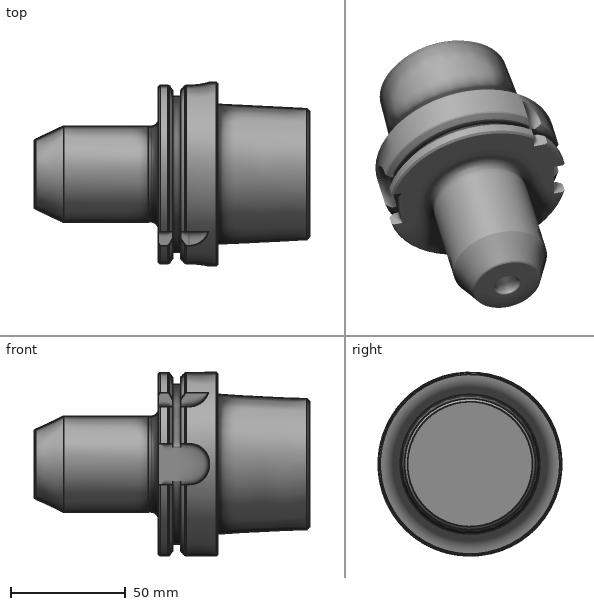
import cadquery as cq
import math

total_length = 120
nose_cone_length = 12.8
relief_start = 49.5
flange_start = 54
flange_width = 26.0
flange_end = flange_start + flange_width

nose_radius = 15.1
nose_bevel = 0.5
body_radius = 42 / 2
relief_radius = 41.8 / 2
flange_radius = 80.0 / 2
taper_start_radius = 30.5
taper_end_radius = 28.5
taper_chamfer = 1.3
flange_chamfer = 0.8

foot_radius = 3.1
ring_outer_radius = 25.2
ring_depth = 0.1

groove_floor_radius = 34.9
groove_wall_radius = 37.7
groove_left = 6.2
groove_right = 9.7
front_land_end = 4.8
rear_land_start = 11.6
land_bevel = 0.6
land_bevel_drop = 0.3

bore_radius = 11.5 / 2
bore_bevel = 0.2
bore_depth = 42

slot_floor = 34.1
slot_length = 22.3
front_slot_width = 17.8
rear_slot_width = 20.0
rear_slot_corner = 9.1
notch_floor = 25.1
notch_end_radius = 9.1


def turned_body():
    """Half section in X and radius, revolved around the X axis."""
    ring_floor = flange_start + ring_depth
    foot_start = ring_floor - foot_radius
    foot_end_radius = relief_radius + foot_radius
    diagonal = foot_radius * math.sqrt(0.5)
    foot_middle = (foot_start + diagonal, foot_end_radius - diagonal)
    wall_left = flange_start + groove_left
    wall_right = flange_start + groove_right
    left_edge = flange_start + front_land_end
    right_edge = flange_start + rear_land_start
    bevel_radius = flange_radius - land_bevel_drop
    section = (
        cq.Workplane("XY")
        .lineTo(0, nose_radius - nose_bevel)
        .lineTo(nose_bevel, nose_radius)
        .lineTo(nose_cone_length, body_radius)
        .lineTo(relief_start, body_radius)
        .lineTo(relief_start, relief_radius)
        .lineTo(foot_start, relief_radius)
        .threePointArc(foot_middle, (ring_floor, foot_end_radius))
        .lineTo(flange_start, ring_outer_radius)
        .lineTo(flange_start, flange_radius - flange_chamfer)
        .lineTo(flange_start + flange_chamfer, flange_radius)
        .lineTo(left_edge - land_bevel, flange_radius)
        .lineTo(left_edge, bevel_radius)
        .lineTo(wall_left, groove_wall_radius)
        .lineTo(wall_left, groove_floor_radius)
        .lineTo(wall_right, groove_floor_radius)
        .lineTo(wall_right, groove_wall_radius)
        .lineTo(right_edge, bevel_radius)
        .lineTo(right_edge + land_bevel, flange_radius)
        .lineTo(flange_end - flange_chamfer, flange_radius)
        .lineTo(flange_end, flange_radius - flange_chamfer)
        .lineTo(flange_end, taper_start_radius)
        .lineTo(total_length - taper_chamfer, taper_end_radius)
        .lineTo(total_length, taper_end_radius - taper_chamfer)
        .lineTo(total_length, 0)
        .close()
    )
    return section.revolve(360, (0, 0, 0), (1, 0, 0))


def nose_bore():
    """Blind bore with a small bevel at its mouth."""
    return (
        cq.Workplane("XY")
        .lineTo(0, bore_radius + bore_bevel)
        .lineTo(bore_bevel, bore_radius)
        .lineTo(bore_depth, bore_radius)
        .lineTo(bore_depth, 0)
        .close()
        .revolve(360, (0, 0, 0), (1, 0, 0))
    )


def flange_cutter(y_start, y_end, z_start, z_end):
    """Box reaching from the flange face to the slot end."""
    return cq.Workplane("XY").box(
        slot_length, y_end - y_start, z_end - z_start, centered=False
    ).translate((flange_start, y_start, z_start))


def front_slot():
    """Slot on the -Y side with a fully round end."""
    half = front_slot_width / 2
    end_x = flange_start + slot_length
    return (
        cq.Workplane("XZ", origin=(0, -slot_floor, 0))
        .moveTo(flange_start, -half)
        .lineTo(end_x - half, -half)
        .threePointArc((end_x, 0), (end_x - half, half))
        .lineTo(flange_start, half)
        .close()
        .extrude(flange_radius - slot_floor)
    )


def rear_slot():
    """Wider slot on the +Y side, its end rounded at both corners."""
    half = rear_slot_width / 2
    cutter = flange_cutter(slot_floor, flange_radius, -half, half)
    return cutter.edges("|Y and >X").fillet(rear_slot_corner)


def corner_notch():
    """Notch at the -Y +Z corner, its floor curving up at the end."""
    cutter = flange_cutter(-flange_radius, -notch_floor, notch_floor, flange_radius)
    return cutter.edges("|Y and >X and <Z").fillet(notch_end_radius)


result = turned_body()
for cutter in (nose_bore(), front_slot(), rear_slot(), corner_notch()):
    result = result.cut(cutter)